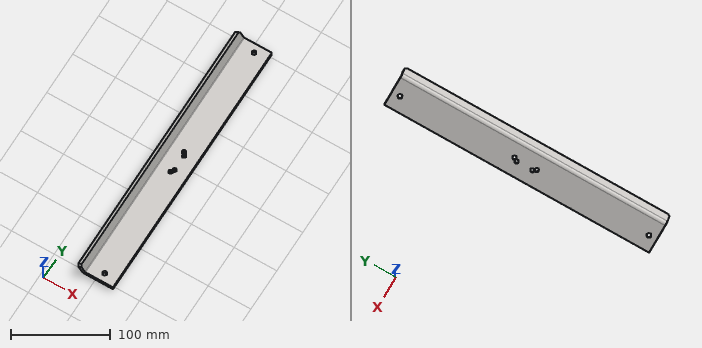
import cadquery as cq
import math

width = 42.0
length = 306.0
height = 13.2

thickness = 4.5
bend_angle = 59.0
inner_bend_radius = 0.5
outer_bend_radius = inner_bend_radius + thickness
lip_corner_chamfer = 2.0

hole_line_x = width - 15.3
end_hole_diameter = 5.0
end_hole_inset = 9.2
pair_hole_diameter = 4.3
pair_inner_y = 9.2
pair_step_x = 2.5
pair_step_y = 3.7


def bent_sheet():
    """Flat plate with a lip folded up along its -X edge."""
    angle = math.radians(bend_angle)
    tip_run = thickness * math.sin(angle)
    tip_drop = thickness * math.cos(angle)

    inner_corner_x = tip_run + (height - thickness) / math.tan(angle)
    outer_corner_x = (height - tip_drop) / math.tan(angle)

    sheet = (
        cq.Workplane("XZ")
        .moveTo(outer_corner_x, 0)
        .lineTo(width, 0)
        .lineTo(width, thickness)
        .lineTo(inner_corner_x, thickness)
        .lineTo(tip_run, height)
        .lineTo(0, height - tip_drop)
        .close()
        .extrude(length / 2, both=True)
    )
    inner_edge = cq.selectors.NearestToPointSelector((inner_corner_x, 0, thickness))
    sheet = sheet.edges(inner_edge).fillet(inner_bend_radius)
    outer_edge = cq.selectors.NearestToPointSelector((outer_corner_x, 0, 0))
    sheet = sheet.edges(outer_edge).fillet(outer_bend_radius)

    for end in (-1, 1):
        corner = (tip_run / 2, end * length / 2, height - tip_drop / 2)
        corner_edge = cq.selectors.NearestToPointSelector(corner)
        sheet = sheet.edges(corner_edge).chamfer(lip_corner_chamfer)
    return sheet


def hole_cutters(diameter, points):
    """Cylinders through the plate at the given XY points."""
    return cq.Workplane("XY").pushPoints(points).circle(diameter / 2).extrude(thickness)


end_hole_y = length / 2 - end_hole_inset
end_holes = [(hole_line_x, side * end_hole_y) for side in (-1, 1)]

pair_holes = []
for side in (-1, 1):
    pair_holes.append((hole_line_x, side * pair_inner_y))
    pair_holes.append((hole_line_x - pair_step_x, side * (pair_inner_y + pair_step_y)))

result = (
    bent_sheet()
    .cut(hole_cutters(end_hole_diameter, end_holes))
    .cut(hole_cutters(pair_hole_diameter, pair_holes))
)